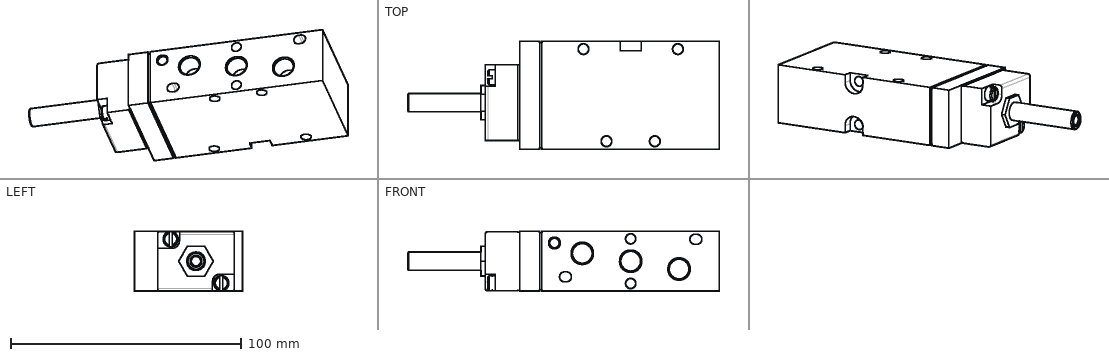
import cadquery as cq
import math

total_length = 135.3
width = 47.0
height = 26.0
body_length = 77.0
overlap = 0.5

front_y = -width / 2
back_y = width / 2
top_z = height / 2

gasket_thickness = 1.0
gasket_inset = 0.6
plate_thickness = 8.7
pilot_length = 15.0
pilot_width = 33.0
pilot_height = 25.7
pilot_y = -3.25
pilot_edge_radius = 1.2
groove_width = 0.8
groove_depth = 0.2
nut_thickness = 1.8
nut_across_flats = 13.0
stem_diameter = 8.0
stem_chamfer = 0.5

plate_x = -gasket_thickness - plate_thickness
pilot_x = plate_x - pilot_length
nut_x = pilot_x - nut_thickness
stem_end_x = body_length - total_length

recess_width = 9.35
recess_height = 7.25
recess_depth = 4.5
recess_corner_radius = 3.3
screw_diameter = 6.5
screw_offset_y = 11.0
screw_offset_z = 9.55
screw_head_inset = 1.2
screw_edge_chamfer = 0.6
screw_slot_width = 1.3
screw_slot_depth = 2.0

middle_x = body_length / 2
port_diameter = 8.57
port_mouth_diameter = 9.7
port_depth = 10.0
port_pitch = 21.0
port_step_z = 3.4
thread_diameter = 4.13
thread_mouth_diameter = 5.1
thread_depth = 8.0
drill_point_angle = 118.0
pilot_port_x = 5.4
pilot_port_z = 7.9
oval_length = 5.2
oval_height = 4.3
oval_depth = 8.0
oval_positions = [(10.2, -6.8), (66.8, 9.5)]
cross_hole_diameter = 4.3
cross_hole_offset_z = 9.7
head_slot_width = 9.1
head_slot_depth = 4.2
mount_hole_diameter = 4.5
mount_hole_edge = 3.5
mount_pitch_front = 21.0
mount_pitch_back = 41.0


def block(x_start, x_end, y_size, z_size, y_center=0.0):
    """Box from x_start to x_end, centred on Z = 0."""
    return (
        cq.Workplane("XY")
        .box(x_end - x_start, y_size, z_size, centered=(False, True, True))
        .translate((x_start, y_center, 0))
    )


def end_plane(x, y=0.0, z=0.0):
    """Plane at x facing -X; its local x axis is -Y and its local y axis is Z."""
    return cq.Workplane(cq.Plane(origin=(x, y, z), xDir=(0, -1, 0), normal=(-1, 0, 0)))


def side_plane(x, y, z):
    """Plane at y facing -Y; its local axes are X and Z."""
    return cq.Workplane("XZ", origin=(x, y, z))


def bore(start, direction, diameter, mouth_diameter, depth, point_angle=None):
    """Round blind cutter with a 45 degree mouth chamfer and an optional drill point."""
    radius = diameter / 2
    mouth = mouth_diameter / 2 - radius
    start = cq.Vector(*start)
    direction = cq.Vector(*direction)
    cutter = cq.Solid.makeCylinder(radius, depth, start, direction)
    chamfer = cq.Solid.makeCone(radius + mouth, radius, mouth, start, direction)
    cutter = cutter.fuse(chamfer)
    if point_angle is not None:
        point_length = radius / math.tan(math.radians(point_angle / 2))
        point = cq.Solid.makeCone(radius, 0, point_length, start + direction * depth, direction)
        cutter = cutter.fuse(point)
    return cutter


def tapped_hole(start, direction):
    return bore(
        start, direction, thread_diameter, thread_mouth_diameter, thread_depth, drill_point_angle
    )


def cut_ports(body):
    """Three main ports on the -Y face, stepping down towards +X."""
    for index in (-1, 0, 1):
        start = (middle_x + index * port_pitch, front_y, -index * port_step_z)
        body = body.cut(bore(start, (0, 1, 0), port_diameter, port_mouth_diameter, port_depth))
    return body


def cut_pilot_port(body):
    return body.cut(tapped_hole((pilot_port_x, front_y, pilot_port_z), (0, 1, 0)))


def cut_ovals(body):
    for x, z in oval_positions:
        oval = side_plane(x, front_y, z).slot2D(oval_length, oval_height).extrude(-oval_depth)
        body = body.cut(oval)
    return body


def cut_cross_holes(body):
    """Two holes through along Y, each with an open-sided screw head slot at the back."""
    for side in (-1, 1):
        z = side * cross_hole_offset_z
        hole = side_plane(middle_x, back_y, z).circle(cross_hole_diameter / 2).extrude(width)
        round_end = side_plane(middle_x, back_y, z).circle(head_slot_width / 2).extrude(head_slot_depth)
        open_length = top_z - cross_hole_offset_z
        open_end = (
            side_plane(middle_x, back_y, z + side * open_length / 2)
            .rect(head_slot_width, open_length)
            .extrude(head_slot_depth)
        )
        body = body.cut(hole).cut(round_end).cut(open_end)
    return body


def cut_mount_holes(body):
    """Four holes through along Z, a close pair in front and a wide pair at the back."""
    hole_y = back_y - mount_hole_edge
    for y, pitch in ((-hole_y, mount_pitch_front), (hole_y, mount_pitch_back)):
        for side in (-1, 1):
            hole = (
                cq.Workplane("XY", origin=(middle_x + side * pitch / 2, y, -top_z))
                .circle(mount_hole_diameter / 2)
                .extrude(height)
            )
            body = body.cut(hole)
    return body


def make_body():
    body = block(0, body_length, width, height)
    body = cut_ports(body)
    body = cut_pilot_port(body)
    body = cut_ovals(body)
    body = cut_cross_holes(body)
    return cut_mount_holes(body)


def make_recess(side):
    """Corner recess for one screw; side = 1 is the +Y top corner, -1 the opposite one."""
    y = pilot_y + side * (pilot_width - recess_width) / 2
    z = side * (pilot_height - recess_height) / 2
    recess = block(pilot_x, pilot_x + recess_depth, recess_width, recess_height, y)
    recess = recess.translate((0, 0, z))
    inner_corner = "<Y and <Z" if side > 0 else ">Y and >Z"
    return recess.edges("|X").edges(inner_corner).fillet(recess_corner_radius)


def make_screw(side):
    """Slotted cylindrical screw head standing on the recess floor."""
    y = pilot_y + side * screw_offset_y
    z = side * screw_offset_z
    head_height = recess_depth - screw_head_inset
    head_x = pilot_x + screw_head_inset
    head = (
        end_plane(head_x, y, z)
        .circle(screw_diameter / 2)
        .extrude(-head_height - overlap)
        .faces("<X")
        .edges()
        .chamfer(screw_edge_chamfer)
    )
    slot = end_plane(head_x, y, z).rect(screw_slot_width, screw_diameter).extrude(-screw_slot_depth)
    return head.cut(slot)


def make_pilot_block():
    pilot = block(pilot_x, plate_x + overlap, pilot_width, pilot_height, pilot_y)
    pilot = pilot.edges("|Y and <X").fillet(pilot_edge_radius)
    for side in (-1, 1):
        groove = block(plate_x - groove_width, plate_x, pilot_width, 2 * groove_depth, pilot_y)
        pilot = pilot.cut(groove.translate((0, 0, side * pilot_height / 2)))
        pilot = pilot.cut(make_recess(side)).union(make_screw(side))
    return pilot


def make_stem():
    nut_corner_diameter = nut_across_flats / math.cos(math.pi / 6)
    nut = end_plane(pilot_x + overlap, pilot_y).polygon(6, nut_corner_diameter)
    nut = nut.extrude(nut_thickness + overlap)
    stem_length = nut_x + overlap - stem_end_x
    stem = end_plane(nut_x + overlap, pilot_y).circle(stem_diameter / 2).extrude(stem_length)
    stem = stem.faces("<X").edges().chamfer(stem_chamfer)
    return nut.union(stem).cut(tapped_hole((stem_end_x, pilot_y, 0), (1, 0, 0)))


gasket = block(
    -gasket_thickness - overlap, overlap, width - 2 * gasket_inset, height - 2 * gasket_inset
)
plate = block(plate_x, -gasket_thickness, width, height)

result = make_body().union(gasket).union(plate).union(make_pilot_block()).union(make_stem())